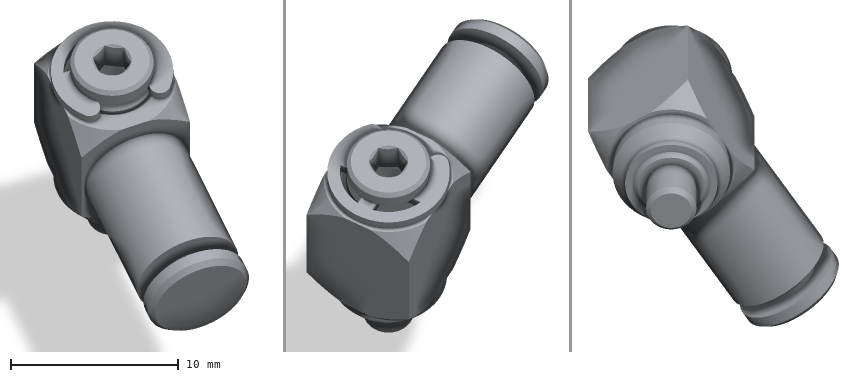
import cadquery as cq
import math


BLOCK_LENGTH = 7.5
BLOCK_WIDTH = 7.0
BLOCK_HEIGHT = 9.0
BLOCK_BOTTOM = 5.18
BLOCK_TOP = BLOCK_BOTTOM + BLOCK_HEIGHT
TUBE_HEIGHT = BLOCK_BOTTOM + BLOCK_HEIGHT / 2
TUBE_DIAMETER = 6.5
TUBE_LENGTH = 8.22
TUBE_END = BLOCK_LENGTH / 2 + TUBE_LENGTH
CORNER_CIRCLE_RADIUS = 3.85
CORNER_DROP = 1.5
BORE_DIAMETER = 5.1
BORE_MOUTH_DIAMETER = 5.5

HEAD_DIAMETER = 4.95
HEAD_BOTTOM = 14.95
HEAD_TOP = 16.0
HEAD_CHAMFER = 0.23
NECK_DIAMETER = 3.2
COLLAR_DIAMETER = 7.0
COLLAR_CONE_TOP = 4.22
SEAT_HEIGHT = 3.48
SEAT_DIAMETER = 5.5
STEM_DIAMETER = 3.0
TIP_CHAMFER = 0.28
HEX_FLATS = 2.0
HEX_DEPTH = 2.0
HEX_MOUTH_DIAMETER = 2.33
HEX_MOUTH_DEPTH = 0.16
HEX_CONE_DEPTH = 0.59

GASKET_THICKNESS = 0.5
LIP_DIAMETER = 4.5
LIP_CHAMFER = 0.25

CLIP_DIAMETER = 7.3
CLIP_THICKNESS = 0.64
CLIP_BOTTOM = 14.25
CLIP_TIP_RADIUS = 0.62
CLIP_SLOT_HALF_WIDTH = 1.63
CLIP_WINDOW_RADIUS = 2.9
REAR_PRONG_HALF_WIDTH = 0.5
SIDE_PRONG_EDGE = -0.95

SLEEVE_NECK_DIAMETER = 3.7
SLEEVE_NECK_LENGTH = 0.8
SLEEVE_FLARE = 0.18
FLANGE_THICKNESS = 1.05
FLANGE_CHAMFER = 0.32
SLEEVE_END = TUBE_END + SLEEVE_NECK_LENGTH + SLEEVE_FLARE + FLANGE_THICKNESS


def revolve_about_z(outline):
    """Revolve a closed (radius, height) outline about the Z axis."""
    return cq.Workplane("XZ").polyline(outline).close().revolve(360, (0, 0, 0), (0, 1, 0))


def make_block():
    """Rectangular block with its upper and lower corners turned to cones."""
    base = cq.Workplane("XY").workplane(offset=BLOCK_BOTTOM)
    block = base.rect(BLOCK_LENGTH, BLOCK_WIDTH).extrude(BLOCK_HEIGHT)
    corner_radius = math.hypot(BLOCK_LENGTH, BLOCK_WIDTH) / 2
    turned_envelope = revolve_about_z([
        (0, BLOCK_BOTTOM),
        (CORNER_CIRCLE_RADIUS, BLOCK_BOTTOM),
        (corner_radius, BLOCK_BOTTOM + CORNER_DROP),
        (corner_radius, BLOCK_TOP - CORNER_DROP),
        (CORNER_CIRCLE_RADIUS, BLOCK_TOP),
        (0, BLOCK_TOP),
    ])
    return block.intersect(turned_envelope)


def make_bore():
    """Cutter for the bolt bore with its chamfered upper mouth."""
    bore_radius = BORE_DIAMETER / 2
    mouth_radius = BORE_MOUTH_DIAMETER / 2
    mouth_depth = mouth_radius - bore_radius
    return revolve_about_z([
        (0, BLOCK_BOTTOM),
        (bore_radius, BLOCK_BOTTOM),
        (bore_radius, BLOCK_TOP - mouth_depth),
        (mouth_radius, BLOCK_TOP),
        (0, BLOCK_TOP),
    ])


def make_housing():
    tube = cq.Workplane("YZ").center(0, TUBE_HEIGHT).circle(TUBE_DIAMETER / 2).extrude(TUBE_END)
    return make_block().union(tube).cut(make_bore())


def make_hex_socket():
    """Cutter for the hexagon socket: chamfered mouth, hexagon and drilled cone."""
    across_corners = HEX_FLATS / math.cos(math.pi / 6)
    hexagon = cq.Workplane("XY").workplane(offset=HEAD_TOP).polygon(6, across_corners).extrude(-HEX_DEPTH)
    mouth = revolve_about_z([
        (0, HEAD_TOP),
        (HEX_MOUTH_DIAMETER / 2, HEAD_TOP),
        (HEX_FLATS / 2, HEAD_TOP - HEX_MOUTH_DEPTH),
        (0, HEAD_TOP - HEX_MOUTH_DEPTH),
    ])
    socket_floor = HEAD_TOP - HEX_DEPTH
    drill_point = revolve_about_z([
        (0, socket_floor),
        (HEX_FLATS / 2, socket_floor),
        (0, socket_floor - HEX_CONE_DEPTH),
    ])
    return hexagon.union(mouth).union(drill_point)


def make_bolt():
    head_radius = HEAD_DIAMETER / 2
    neck_radius = NECK_DIAMETER / 2
    collar_radius = COLLAR_DIAMETER / 2
    stem_radius = STEM_DIAMETER / 2
    shaft = revolve_about_z([
        (0, 0),
        (stem_radius - TIP_CHAMFER, 0),
        (stem_radius, TIP_CHAMFER),
        (stem_radius, SEAT_HEIGHT),
        (SEAT_DIAMETER / 2, SEAT_HEIGHT),
        (collar_radius, COLLAR_CONE_TOP),
        (collar_radius, BLOCK_BOTTOM),
        (head_radius, BLOCK_BOTTOM),
        (head_radius, BLOCK_TOP),
        (neck_radius, BLOCK_TOP),
        (neck_radius, HEAD_BOTTOM),
        (head_radius, HEAD_BOTTOM),
        (head_radius, HEAD_TOP - HEAD_CHAMFER),
        (head_radius - HEAD_CHAMFER, HEAD_TOP),
        (0, HEAD_TOP),
    ])
    return shaft.cut(make_hex_socket())


def make_gasket():
    """Flat ring with a tapered lip on its underside."""
    underside = SEAT_HEIGHT - GASKET_THICKNESS
    lip_radius = LIP_DIAMETER / 2
    return revolve_about_z([
        (STEM_DIAMETER / 2, SEAT_HEIGHT),
        (SEAT_DIAMETER / 2, SEAT_HEIGHT),
        (SEAT_DIAMETER / 2, underside),
        (lip_radius, underside),
        (lip_radius - LIP_CHAMFER, underside - LIP_CHAMFER),
        (STEM_DIAMETER / 2, underside - LIP_CHAMFER),
    ])


def make_clip():
    """E-shaped clip: open toward +X, with three prongs around the bolt neck."""
    plane = cq.Workplane("XY").workplane(offset=CLIP_BOTTOM)
    outer_radius = CLIP_DIAMETER / 2

    tip_y = CLIP_SLOT_HALF_WIDTH + CLIP_TIP_RADIUS
    tip_distance = outer_radius - CLIP_TIP_RADIUS
    tip_x = math.sqrt(tip_distance**2 - tip_y**2)
    tangent_scale = outer_radius / tip_distance
    tangent_x = tip_x * tangent_scale
    tangent_y = tip_y * tangent_scale
    clip = (
        plane.moveTo(0, CLIP_SLOT_HALF_WIDTH)
        .lineTo(tip_x, CLIP_SLOT_HALF_WIDTH)
        .threePointArc((tip_x + CLIP_TIP_RADIUS, tip_y), (tangent_x, tangent_y))
        .threePointArc((-outer_radius, 0), (tangent_x, -tangent_y))
        .threePointArc((tip_x + CLIP_TIP_RADIUS, -tip_y), (tip_x, -CLIP_SLOT_HALF_WIDTH))
        .lineTo(0, -CLIP_SLOT_HALF_WIDTH)
        .close()
        .extrude(CLIP_THICKNESS)
    )
    clip = clip.cut(plane.circle(NECK_DIAMETER / 2).extrude(CLIP_THICKNESS))

    window_disc = plane.circle(CLIP_WINDOW_RADIUS).extrude(CLIP_THICKNESS)
    for side in (-1, 1):
        window_limits = plane.polyline([
            (SIDE_PRONG_EDGE, side * REAR_PRONG_HALF_WIDTH),
            (SIDE_PRONG_EDGE, side * outer_radius),
            (-outer_radius, side * outer_radius),
            (-outer_radius, side * REAR_PRONG_HALF_WIDTH),
        ]).close().extrude(CLIP_THICKNESS)
        clip = clip.cut(window_disc.intersect(window_limits))
    return clip


def make_sleeve():
    """Flanged sleeve whose neck meets the end face of the tube."""
    neck_radius = SLEEVE_NECK_DIAMETER / 2
    flange_radius = TUBE_DIAMETER / 2
    flare_start = TUBE_END + SLEEVE_NECK_LENGTH
    flange_start = flare_start + SLEEVE_FLARE
    outline = [
        (TUBE_END, 0),
        (TUBE_END, neck_radius),
        (flare_start, neck_radius),
        (flange_start, neck_radius + SLEEVE_FLARE),
        (flange_start, flange_radius),
        (SLEEVE_END - FLANGE_CHAMFER, flange_radius),
        (SLEEVE_END, flange_radius - FLANGE_CHAMFER),
        (SLEEVE_END, 0),
    ]
    sleeve = cq.Workplane("XZ").polyline(outline).close().revolve(360, (0, 0, 0), (1, 0, 0))
    return sleeve.translate((0, 0, TUBE_HEIGHT))


housing = make_housing()
bolt = make_bolt()
gasket = make_gasket()
clip = make_clip()
sleeve = make_sleeve()

result = cq.Compound.makeCompound([
    housing.val(),
    bolt.val(),
    gasket.val(),
    clip.val(),
    sleeve.val(),
])